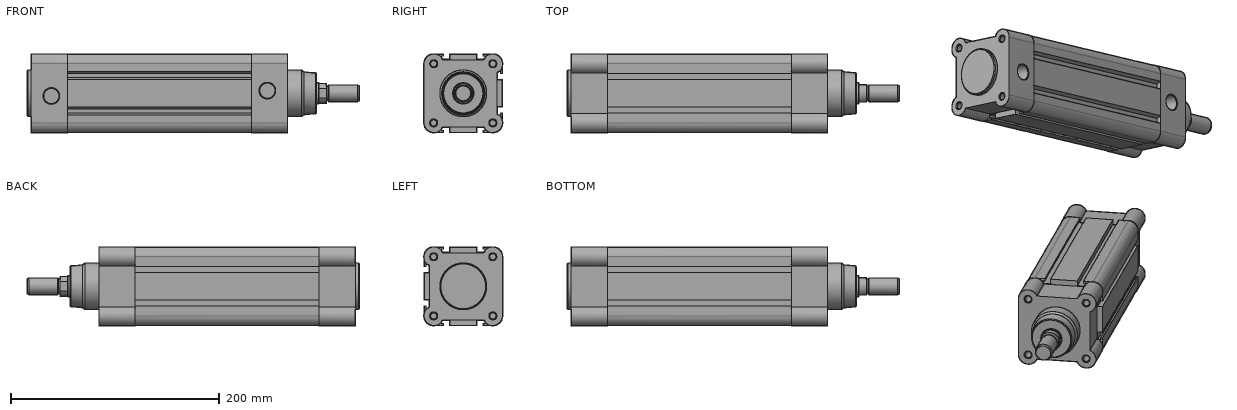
import cadquery as cq
import math


total_length = 319.0
body_width = 76.0
half_width = body_width / 2
corner_radius = 9.5
screw_offset = half_width - corner_radius

boss_length = 3.8
cap_length = 34.8
tube_length = 176.7
rear_cap_start = boss_length
tube_start = rear_cap_start + cap_length
front_cap_start = tube_start + tube_length
front_cap_end = front_cap_start + cap_length

side_recess = 5.7
screw_hole_diameter = 6.0
screw_mouth_diameter = 7.5
screw_hole_depth = 16.0
port_diameter = 14.7
port_mouth_diameter = 16.0
port_depth = 16.0
port_inset = 19.5
port_offset = 2.5

collar_diameter = 45.0
collar_radius = collar_diameter / 2
boss_chamfer = 1.0
collar_length = 13.5
shoulder_length = 2.2
nose_length = 12.0
nose_base_radius = 20.7
nose_tip_radius = 19.8
nose_chamfer = 1.0
lip_radius = 10.2
lip_length = 2.5
lip_chamfer = 0.5
nose_start = front_cap_end + collar_length + shoulder_length
nose_end = nose_start + nose_length
lip_end = nose_end + lip_length

tube_width = 75.3
tube_half_width = tube_width / 2
slot_offset = 16.0
slot_mouth_width = 5.7
slot_depth = 4.8
slot_lip = 2.0
slot_undercut = 2.0
vee_offset = 17.0
vee_mouth_width = 7.5
vee_floor_width = 3.8

rod_radius = 9.5
flat_width = 17.0
flat_length = 7.0
thread_diameter = 16.3
thread_radius = thread_diameter / 2
thread_length = 30.3
thread_chamfer = 1.0
thread_tip_chamfer_length = 2.0
relief_radius = 7.0


def section_plane(x):
    """Plane across the cylinder: local x is Y, local y is Z, extrusion goes toward +X."""
    return cq.Workplane("YZ", origin=(x, 0, 0))


def turned(profile):
    """Solid of revolution about X from (x, radius) points."""
    return cq.Workplane("XY").polyline(profile).close().revolve(360, (0, 0, 0), (1, 0, 0))


def cap_outline(start):
    """Cap section: round screw lobes, three sunken sides and a flat -Y side."""
    sunk = half_width - side_recess
    lobe_edge = screw_offset - math.sqrt(corner_radius**2 - (sunk - screw_offset) ** 2)
    crest = screw_offset + corner_radius / math.sqrt(2)
    return (
        section_plane(start)
        .moveTo(-half_width, -screw_offset)
        .lineTo(-half_width, screw_offset)
        .threePointArc((-crest, crest), (-lobe_edge, sunk))
        .lineTo(lobe_edge, sunk)
        .threePointArc((crest, crest), (sunk, lobe_edge))
        .lineTo(sunk, -lobe_edge)
        .threePointArc((crest, -crest), (lobe_edge, -sunk))
        .lineTo(-lobe_edge, -sunk)
        .threePointArc((-crest, -crest), (-half_width, -screw_offset))
        .close()
    )


def blind_hole(diameter, mouth_diameter, depth):
    """Cutter for a blind hole with a 45 degree mouth chamfer, running along +X from the origin."""
    radius = diameter / 2
    mouth_radius = mouth_diameter / 2
    return turned([
        (0, 0),
        (0, mouth_radius),
        (mouth_radius - radius, radius),
        (depth, radius),
        (depth, 0),
    ])


def make_cap(start, port_x, port_z, screw_face_x):
    """End cap with an air port in its flat -Y side and four screw holes in its outer end."""
    cap = cap_outline(start).extrude(cap_length)

    port = blind_hole(port_diameter, port_mouth_diameter, port_depth)
    port = port.rotate((0, 0, 0), (0, 0, 1), 90)
    cap = cap.cut(port.translate((port_x, -half_width, port_z)))

    screw_hole = blind_hole(screw_hole_diameter, screw_mouth_diameter, screw_hole_depth)
    if screw_face_x > start:
        screw_hole = screw_hole.mirror("YZ")
    for y in (-screw_offset, screw_offset):
        for z in (-screw_offset, screw_offset):
            cap = cap.cut(screw_hole.translate((screw_face_x, y, z)))
    return cap


def make_rear_cap():
    boss = turned([
        (0, 0),
        (0, collar_radius - boss_chamfer),
        (boss_chamfer, collar_radius),
        (rear_cap_start, collar_radius),
        (rear_cap_start, 0),
    ])
    port_x = rear_cap_start + port_inset
    return make_cap(rear_cap_start, port_x, -port_offset, rear_cap_start).union(boss)


def make_front_cap():
    collar_end = front_cap_end + collar_length
    nose = turned([
        (front_cap_end, 0),
        (front_cap_end, collar_radius),
        (collar_end, collar_radius),
        (nose_start, nose_base_radius),
        (nose_end - nose_chamfer, nose_tip_radius),
        (nose_end, nose_tip_radius - nose_chamfer),
        (nose_end, lip_radius),
        (lip_end - lip_chamfer, lip_radius),
        (lip_end, lip_radius - lip_chamfer),
        (lip_end, 0),
    ])
    port_x = front_cap_end - port_inset
    return make_cap(front_cap_start, port_x, port_offset, front_cap_end).union(nose)


def undercut_slot(side):
    """Slot in the +Z face whose outer wall is undercut; side is +1 or -1 along Y."""
    inner = slot_offset - slot_mouth_width / 2
    outer = slot_offset + slot_mouth_width / 2
    floor_z = tube_half_width - slot_depth
    lip_z = tube_half_width - slot_lip
    profile = [
        (side * inner, tube_half_width),
        (side * inner, floor_z),
        (side * (outer + slot_undercut), floor_z),
        (side * (outer + slot_undercut), lip_z),
        (side * outer, lip_z),
        (side * outer, tube_half_width),
    ]
    return section_plane(tube_start).polyline(profile).close().extrude(tube_length)


def vee_slot(side):
    """Slot with sloping walls in the -Y face; side is +1 or -1 along Z."""
    centre = side * vee_offset
    floor_y = slot_depth - tube_half_width
    profile = [
        (-tube_half_width, centre - vee_mouth_width / 2),
        (floor_y, centre - vee_floor_width / 2),
        (floor_y, centre + vee_floor_width / 2),
        (-tube_half_width, centre + vee_mouth_width / 2),
    ]
    return section_plane(tube_start).polyline(profile).close().extrude(tube_length)


def make_tube():
    tube = section_plane(tube_start).rect(tube_width, tube_width).extrude(tube_length)
    tube = tube.edges("|X").fillet(tube_width / 2 - screw_offset)
    for side in (-1, 1):
        slot = undercut_slot(side)
        for turn in (0, -90, 180):
            tube = tube.cut(slot.rotate((0, 0, 0), (1, 0, 0), turn))
        tube = tube.cut(vee_slot(side))
    return tube


def make_rod():
    thread_start = total_length - thread_length
    flat_end = lip_end + flat_length
    rod = turned([
        (lip_end, 0),
        (lip_end, rod_radius),
        (flat_end, rod_radius),
        (flat_end, relief_radius),
        (thread_start, relief_radius),
        (thread_start + thread_chamfer, thread_radius),
        (total_length - thread_tip_chamfer_length, thread_radius),
        (total_length, thread_radius - thread_chamfer),
        (total_length, 0),
    ])
    flats = section_plane(lip_end).rect(flat_width, 2 * rod_radius).extrude(total_length - lip_end)
    return rod.intersect(flats)


rear_cap = make_rear_cap()
tube = make_tube()
front_cap = make_front_cap()
rod = make_rod()

result = cq.Compound.makeCompound([rear_cap.val(), tube.val(), front_cap.val(), rod.val()])